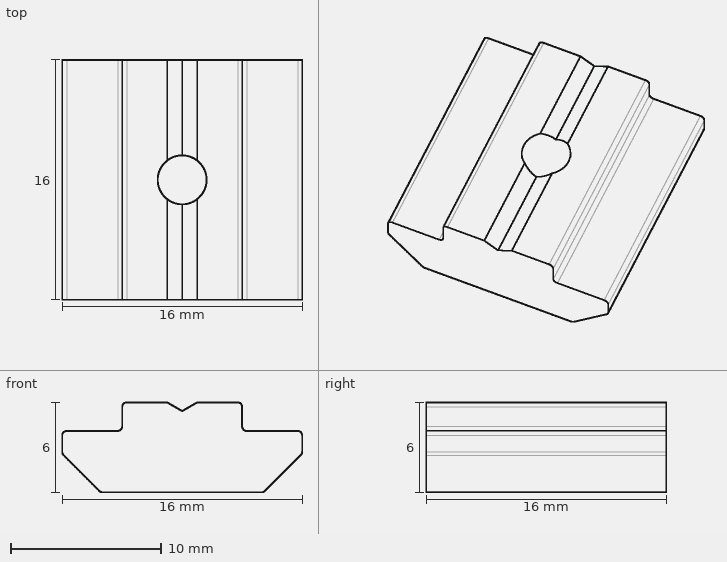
import cadquery as cq
import math

width = 16.0
length = 16.0
height = 6.0

rib_width = 8.0
shoulder_height = 4.1
base_width = 10.85
flank_angle = 45.0
edge_radius = 0.3

groove_width = 2.0
groove_slope = 30.0
hole_diameter = 3.25

half_width = width / 2
half_rib = rib_width / 2
half_base = base_width / 2
half_groove = groove_width / 2
flank_height = (half_width - half_base) * math.tan(math.radians(flank_angle))
groove_depth = half_groove * math.tan(math.radians(groove_slope))


def make_body():
    """Stepped nut body with every lengthwise edge rounded."""
    right_side = [
        (half_base, 0),
        (half_width, flank_height),
        (half_width, shoulder_height),
        (half_rib, shoulder_height),
        (half_rib, height),
    ]
    left_side = [(-x, z) for x, z in reversed(right_side)]
    body = (
        cq.Workplane("XZ")
        .polyline(right_side + left_side)
        .close()
        .extrude(length / 2, both=True)
    )
    return body.edges("|Y").fillet(edge_radius)


def make_groove():
    """Triangular cutter for the V groove in the top of the rib."""
    return (
        cq.Workplane("XZ")
        .polyline([(-half_groove, height), (0, height - groove_depth), (half_groove, height)])
        .close()
        .extrude(length / 2, both=True)
    )


def make_hole():
    """Vertical cutter for the central through hole."""
    return cq.Workplane("XY").circle(hole_diameter / 2).extrude(height)


result = make_body().cut(make_groove()).cut(make_hole())